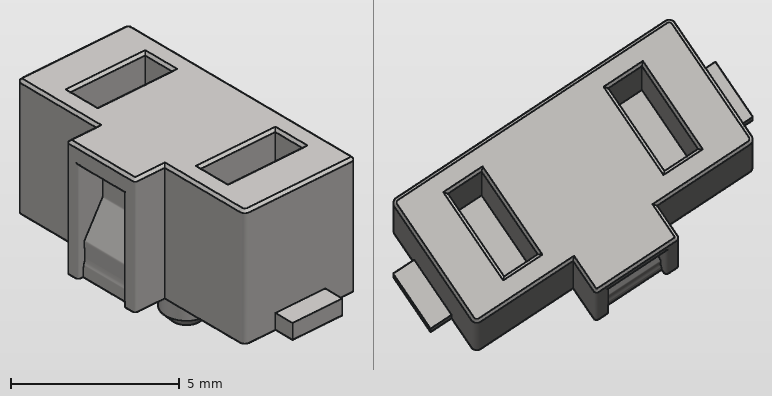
import cadquery as cq
import math

body_length = 10.0
body_width = 4.5
body_height = 4.7
body_corner_radius = 0.2
top_chamfer = 0.1

nose_width = 3.0
nose_projection = 1.2
nose_corner_radius = 0.105
body_front_y = -body_width / 2
nose_front_y = body_front_y - nose_projection

window_width = 2.0
window_height = 4.0
window_depth = 1.0
window_edge_radius = 0.1

ramp_top_z = 2.5
ramp_bottom_z = 1.25
ramp_bottom_setback = 0.25
land_bottom_z = 0.65
land_undercut = 0.03
groove_radius = 0.5
groove_angle = math.radians(27)
foot_draft = 0.02
ramp_edge_radius = 0.13

tab_projection = 0.75
tab_width = 2.0
tab_thickness = 0.6

slot_length = 3.0
slot_width = 1.2
slot_chamfer = 0.1
slot_spacing = 5.72
slot_depth = body_height - tab_thickness

pin_diameter = 1.7
pin_length = 2.3
pin_tip_diameter = 1.0
pin_tip_height = 0.38


def make_housing():
    """Block and nose in one piece, with rounded uprights and a chamfered top."""
    body = cq.Workplane("XY").box(body_length, body_width, body_height, centered=(True, True, False))
    body = body.edges("|Z").fillet(body_corner_radius)
    nose = (
        cq.Workplane("XY")
        .box(nose_width, -nose_front_y, body_height, centered=(True, False, False))
        .translate((0, nose_front_y, 0))
        .edges("|Z and <Y")
        .fillet(nose_corner_radius)
    )
    return body.union(nose).faces(">Z").edges().chamfer(top_chamfer)


def cut_window(housing):
    """Cut the window and round its front rim."""
    window = (
        cq.Workplane("XY")
        .box(window_width, window_depth, window_height, centered=(True, False, False))
        .translate((0, nose_front_y, 0))
    )
    rim = cq.selectors.BoxSelector(
        (-window_width / 2 - window_edge_radius, nose_front_y - window_edge_radius, window_edge_radius),
        (window_width / 2 + window_edge_radius, nose_front_y + window_edge_radius,
         window_height + window_edge_radius),
    )
    return housing.cut(window).edges(rim).fillet(window_edge_radius)


def make_ramp():
    """Filler at the back of the window: upright wall, ramp, undercut land, groove and foot."""
    wall_y = nose_front_y + window_depth
    ramp_bottom_y = nose_front_y + ramp_bottom_setback
    land_bottom_y = ramp_bottom_y + land_undercut

    def groove_point(angle):
        """Point on the groove, which starts upright and curves outward going down."""
        return (
            land_bottom_y - groove_radius * (1 - math.cos(angle)),
            land_bottom_z - groove_radius * math.sin(angle),
        )

    wall_foot = (wall_y, ramp_top_z)
    ramp_foot = (ramp_bottom_y, ramp_bottom_z)
    groove_end = groove_point(groove_angle)
    foot_bottom_y = groove_end[0] - foot_draft

    ramp = (
        cq.Workplane("YZ", origin=(-window_width / 2, 0, 0))
        .moveTo(body_front_y, 0)
        .lineTo(foot_bottom_y, 0)
        .lineTo(*groove_end)
        .threePointArc(groove_point(groove_angle / 2), (land_bottom_y, land_bottom_z))
        .lineTo(*ramp_foot)
        .lineTo(*wall_foot)
        .lineTo(wall_y, window_height)
        .lineTo(body_front_y, window_height)
        .close()
        .extrude(window_width)
    )
    for y, z in (wall_foot, ramp_foot, groove_end):
        ramp = ramp.edges(cq.selectors.NearestToPointSelector((0, y, z))).fillet(ramp_edge_radius)
    return ramp


def make_slot_cutter():
    """Rectangular slot with a chamfered mouth, hanging from Z = 0."""
    slot = cq.Workplane("XY").rect(slot_width, slot_length).extrude(-slot_depth)
    mouth = (
        cq.Workplane("XY")
        .rect(slot_width + 2 * slot_chamfer, slot_length + 2 * slot_chamfer)
        .extrude(-slot_chamfer, taper=45)
    )
    return slot.union(mouth)


def make_tab():
    """Solder tab bar through both ends."""
    length = body_length + 2 * tab_projection
    return cq.Workplane("XY").box(length, tab_width, tab_thickness, centered=(True, True, False))


def make_pin():
    """Locating pin with a tapered tip."""
    tip_inset = (pin_diameter - pin_tip_diameter) / 2
    return (
        cq.Workplane("XY")
        .circle(pin_diameter / 2)
        .extrude(-pin_length)
        .faces("<Z")
        .chamfer(pin_tip_height, tip_inset)
    )


result = cut_window(make_housing()).union(make_ramp()).union(make_tab()).union(make_pin())
for side in (-1, 1):
    slot_cutter = make_slot_cutter().translate((side * slot_spacing / 2, 0, body_height))
    result = result.cut(slot_cutter)